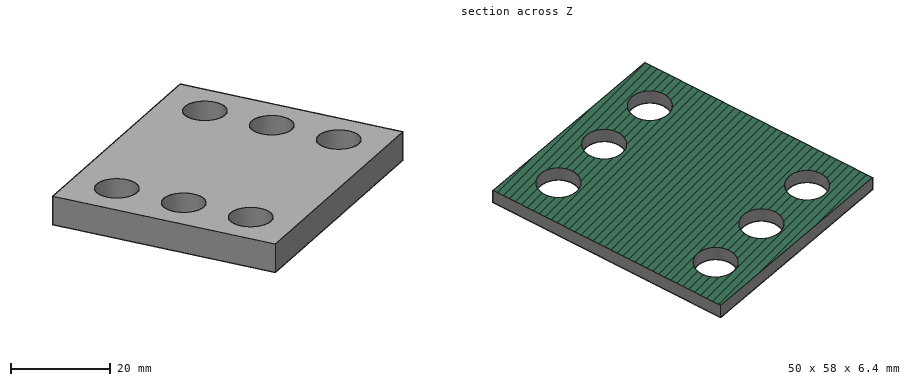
import cadquery as cq

plate_width = 50.0
plate_length = 58.0
plate_thickness = 6.4

hole_diameter = 9.0
holes_per_row = 3
row_count = 2
hole_pitch = 15.0
row_spacing = 40.0

plate = cq.Workplane("XY").box(plate_width, plate_length, plate_thickness)

result = (
    plate.faces(">Z")
    .workplane()
    .rarray(hole_pitch, row_spacing, holes_per_row, row_count)
    .hole(hole_diameter)
)